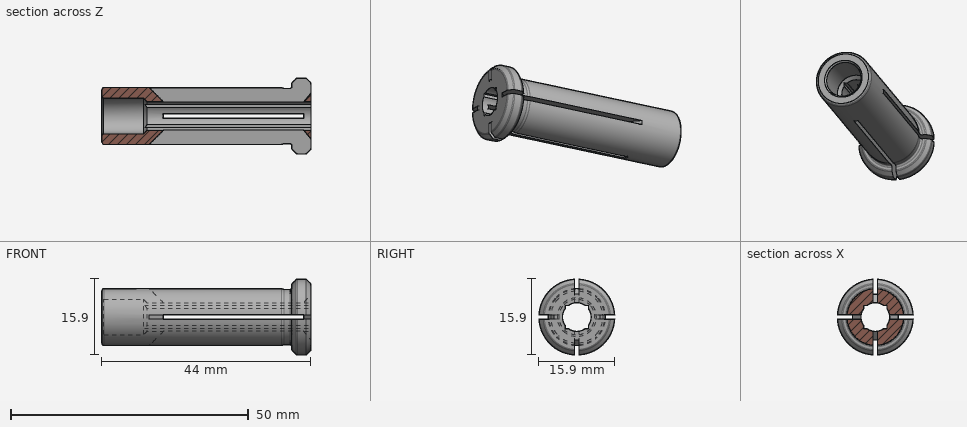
import cadquery as cq

LENGTH = 44.0
BODY_R = 12.0 / 2
FLANGE_R = 15.95 / 2

NOSE_LENGTH = 0.25
NOSE_DROP = 0.55
NOSE_ROUND = 0.35

NECK_R = 5.85
NECK_START = 37.8
NECK_TAPER = 0.55
NECK_FILLET = 0.4

FLANGE_START = 39.95
FLANGE_CHAMFER = 1.0
FLANGE_ROUND = 0.35

BORE_R = 7.5 / 2
MOUTH_CHAMFER = 0.35
BORE_DEPTH = 8.8
DRIVE_HOLE_R = 6.0 / 2
DRIVE_SQUARE = 4.85

SLOT_WIDTH = 0.9
SLOT_START = 10.0
SLOT_BORE_START = SLOT_START + BODY_R - DRIVE_HOLE_R
SLOT_BORE_END = 42.45
SLOT_END_R = 4.85
SLOT_COUNT = 4


def revolve_profile(profile):
    """Turn a half profile, drawn as axial position and radius, around X."""
    return profile.close().revolve(360, (0, 0, 0), (1, 0, 0))


def round_circles(body, stations, radius):
    """Round circular edges given by their axial position and radius."""
    tolerance = 0.005
    for x, edge_r in stations:
        selector = cq.selectors.BoxSelector(
            (x - tolerance, -edge_r - tolerance, -edge_r - tolerance),
            (x + tolerance, edge_r + tolerance, edge_r + tolerance),
            boundingbox=True,
        )
        body = body.edges(selector).fillet(radius)
    return body


def make_body():
    """Solid outer shape: rounded nose, shank, neck and flange."""
    face_r = FLANGE_R - FLANGE_CHAMFER
    rim_start = FLANGE_START + FLANGE_CHAMFER
    rim_end = LENGTH - FLANGE_CHAMFER
    body = revolve_profile(
        cq.Workplane("XY")
        .moveTo(0, 0)
        .lineTo(0, BODY_R - NOSE_DROP)
        .lineTo(NOSE_LENGTH, BODY_R)
        .lineTo(NECK_START, BODY_R)
        .lineTo(NECK_START + NECK_TAPER, NECK_R)
        .lineTo(FLANGE_START, NECK_R)
        .lineTo(FLANGE_START, face_r)
        .lineTo(rim_start, FLANGE_R)
        .lineTo(rim_end, FLANGE_R)
        .lineTo(LENGTH, face_r)
        .lineTo(LENGTH, 0)
    )
    body = round_circles(body, [(NOSE_LENGTH, BODY_R)], NOSE_ROUND)
    rims = [(rim_start, FLANGE_R), (rim_end, FLANGE_R), (LENGTH, face_r)]
    body = round_circles(body, rims, FLANGE_ROUND)
    body = round_circles(body, [(FLANGE_START, NECK_R)], NECK_FILLET)
    return round_circles(body, [(FLANGE_START, face_r)], FLANGE_ROUND)


def make_bore():
    """Shank bore with a conical bottom, leading to a hole with a square drive."""
    cone_end = BORE_DEPTH + BORE_R - DRIVE_HOLE_R
    bore = revolve_profile(
        cq.Workplane("XY")
        .moveTo(0, 0)
        .lineTo(0, BORE_R + MOUTH_CHAMFER)
        .lineTo(MOUTH_CHAMFER, BORE_R)
        .lineTo(BORE_DEPTH, BORE_R)
        .lineTo(cone_end, DRIVE_HOLE_R)
        .lineTo(LENGTH, DRIVE_HOLE_R)
        .lineTo(LENGTH, 0)
    )
    square = (
        cq.Workplane("YZ", origin=(BORE_DEPTH, 0, 0))
        .rect(DRIVE_SQUARE, DRIVE_SQUARE)
        .extrude(LENGTH - BORE_DEPTH)
    )
    return bore.union(square)


def make_slot():
    """One slot through the +Z wall, with a floor that slopes up at both ends."""
    return (
        cq.Workplane("XZ")
        .moveTo(SLOT_START, FLANGE_R)
        .lineTo(SLOT_START, BODY_R)
        .lineTo(SLOT_BORE_START, DRIVE_HOLE_R)
        .lineTo(SLOT_BORE_START, 0)
        .lineTo(SLOT_BORE_END, 0)
        .lineTo(SLOT_BORE_END, DRIVE_HOLE_R)
        .lineTo(LENGTH, SLOT_END_R)
        .lineTo(LENGTH, FLANGE_R)
        .close()
        .extrude(SLOT_WIDTH / 2, both=True)
    )


result = make_body().cut(make_bore())
for index in range(SLOT_COUNT):
    angle = index * 360 / SLOT_COUNT
    result = result.cut(make_slot().rotate((0, 0, 0), (1, 0, 0), angle))